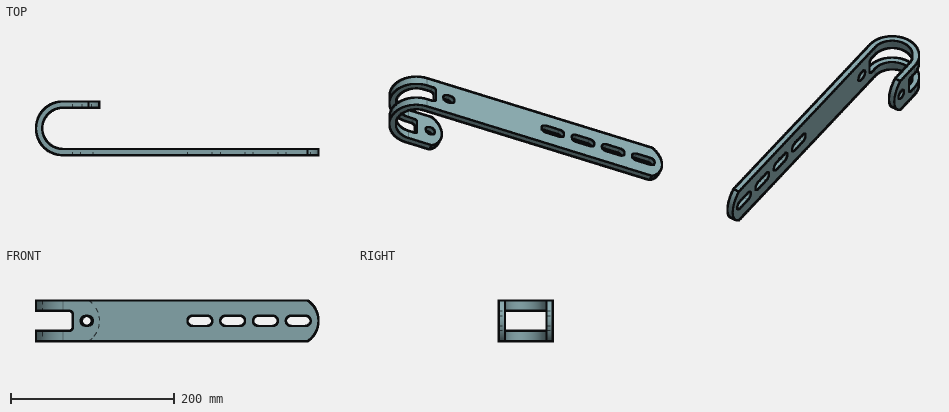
import cadquery as cq
import math

length = 346.0
depth = 66.0
width = 50.0
thickness = 8.0
short_arm_tip = 78.0
tip_radius = 30.0

window_end = 45.0
window_height = 24.2
window_corner_radius = 4.0

pin_x = 62.3
pin_diameter = 12.0
pin_slot_length = 15.0

slot_count = 4
slot_pitch = 40.0
slot_length = 30.0
slot_width = 12.0
last_slot_to_tip = 25.0

bend_radius = depth / 2
inner_radius = bend_radius - thickness
half_width = width / 2
tip_rise = tip_radius - math.sqrt(tip_radius**2 - half_width**2)


def arm(tip_x, y_min):
    """Flat arm from the bend to an arc-ended tip, occupying one thickness from y_min."""
    shoulder_x = tip_x - tip_rise
    return (
        cq.Workplane("XZ", origin=(0, y_min + thickness, 0))
        .moveTo(bend_radius, -half_width)
        .lineTo(shoulder_x, -half_width)
        .threePointArc((tip_x, 0), (shoulder_x, half_width))
        .lineTo(bend_radius, half_width)
        .close()
        .extrude(thickness)
    )


def bend():
    """Half ring joining the two arms."""
    return (
        cq.Workplane("XY", origin=(0, 0, -half_width))
        .moveTo(bend_radius, 0)
        .threePointArc((0, bend_radius), (bend_radius, depth))
        .lineTo(bend_radius, depth - thickness)
        .threePointArc((thickness, bend_radius), (bend_radius, bend_radius - inner_radius))
        .close()
        .extrude(width)
    )


def window():
    """Opening through the bend that runs into both arms, with rounded inner corners."""
    return (
        cq.Workplane("XY")
        .box(window_end, depth, window_height, centered=(False, False, True))
        .edges("|Y and >X")
        .fillet(window_corner_radius)
    )


def slot_cutter(center_x, slot_size, slot_height):
    """Round-ended slot along X, cutting the long arm only."""
    return (
        cq.Workplane("XZ", origin=(center_x, thickness, 0))
        .slot2D(slot_size, slot_height)
        .extrude(thickness)
    )


result = arm(length, 0).union(bend()).union(arm(short_arm_tip, depth - thickness))
result = result.cut(window())

result = result.cut(slot_cutter(pin_x, pin_slot_length, pin_diameter))
round_pin_hole = (
    cq.Workplane("XZ", origin=(pin_x, depth, 0))
    .circle(pin_diameter / 2)
    .extrude(thickness)
)
result = result.cut(round_pin_hole)

for index in range(slot_count):
    slot_x = length - last_slot_to_tip - index * slot_pitch
    result = result.cut(slot_cutter(slot_x, slot_length, slot_width))